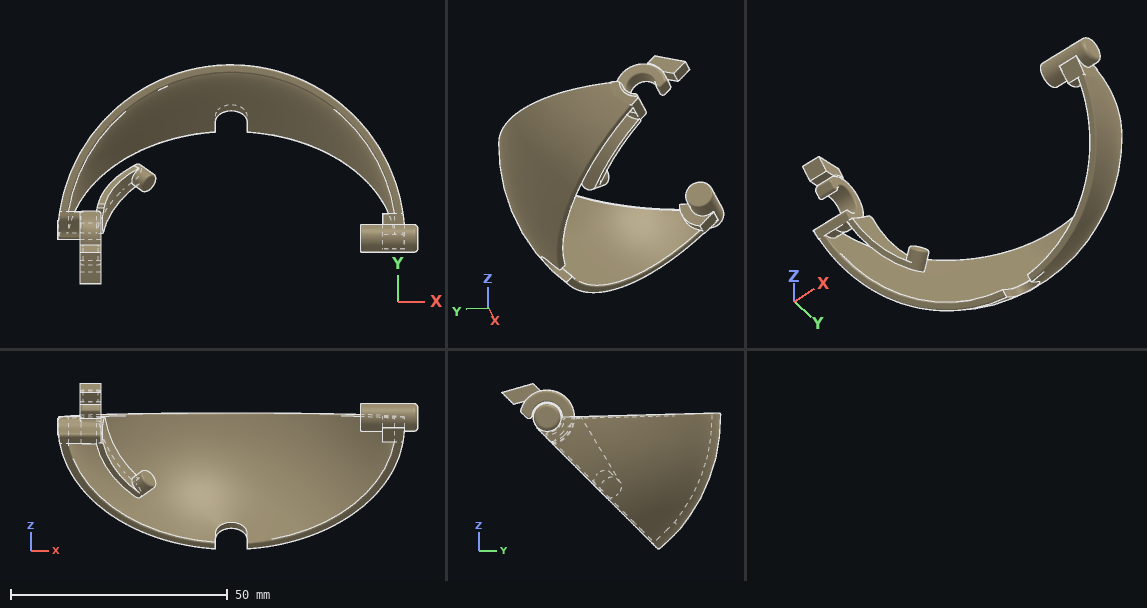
import cadquery as cq
import math

TIP_ANGLE = 45.0

SPHERE_R = 40.1
WALL = 2.0
CUT_OFFSET = 3.4
RIM_TILT = 1.5
RIM_FILLET = 0.4
NOTCH_R = 3.7

BORE_R = 3.5
RING_R = 6.3
TROUGH_R = 6.2
RING_X0 = -35.0
HINGE_X1 = -30.05
TROUGH_X1 = (RING_X0 + HINGE_X1) / 2
LIP_R = 4.1
BORE_FILLET = 0.4
MOUTH_FILLET = 0.75
TROUGH_FILLET = 2.1
RING_FILLET = 0.75

TAB_TOP = (-3.25, 7.8)
TAB_TIP = (-10.5, 5.75)
TAB_END_DROP = 2.75
TAB_ROOT_DROP = 2.4
TAB_ROOT = (-4.0, 4.0)

PIN_R = 3.25
PIN_X0 = 29.8
PIN_X1 = 43.1
PIN_INNER_FILLET = 0.4
PIN_OUTER_FILLET = 1.0
WEB_R = 5.75
WEB_X0 = 35.0

ARM_OUTER_R = 31.8
ARM_INNER_R = 30.2
ARM_TOP = 1.3
ARM_ROOT = 5.0
ARM_SLOPE_START = 5.6
ARM_SLOPE_END = 22.5
PEG_ANGLE = 45.0
PEG_TIP_R = 26.7
PEG_FILLET = 0.5

REACH = 2 * SPHERE_R
RIM_ANGLE = math.radians(TIP_ANGLE + RIM_TILT)


def prism(profile, x0, x1):
    """Extrude a closed Y-Z profile from x0 to x1."""
    return profile(cq.Workplane("YZ").workplane(offset=x0)).extrude(x1 - x0)


def cylinder(radius, x0, x1):
    return prism(lambda plane: plane.circle(radius), x0, x1)


def ball(radius):
    """Solid sphere, turned so that its seam lies on the -Y side, clear of the shell."""
    return cq.Workplane("XY").sphere(radius).rotate((0, 0, 0), (0, 0, 1), -90)


def wedge(x0, x1):
    """Space between the cut plane and the upper rim, starting beneath the hinge axis."""
    points = [
        (0, 0),
        (0, -CUT_OFFSET),
        (REACH, -CUT_OFFSET),
        (REACH * math.cos(RIM_ANGLE), REACH * math.sin(RIM_ANGLE)),
    ]
    return prism(lambda plane: plane.polyline(points).close(), x0, x1)


def above_cut(x0, x1):
    """Half space above the cut plane."""
    block = cq.Workplane("XY").box(x1 - x0, REACH, REACH, centered=False)
    return block.translate((x0, -REACH / 2, -CUT_OFFSET))


def make_shell():
    shell = ball(SPHERE_R).cut(ball(SPHERE_R - WALL)).intersect(wedge(-REACH, REACH))
    shell = shell.cut(cylinder(TROUGH_R, -REACH, 0)).cut(cylinder(WEB_R, 0, REACH))
    rim_edges = cq.selectors.BoxSelector((-WEB_X0, RING_R, -REACH), (WEB_X0, REACH, REACH))
    shell = shell.edges(rim_edges).fillet(RIM_FILLET)
    notch = cq.Workplane("XZ").circle(NOTCH_R).extrude(-REACH)
    notch_legs = cq.Workplane("XY").box(2 * NOTCH_R, REACH, REACH, centered=(True, False, False))
    notch = notch.union(notch_legs.translate((0, 0, -REACH)))
    return shell.cut(notch)


def round_bore_ends(ring):
    """Round the end edges of the bore; the rounding runs on along its blended mouth."""
    bore_zone = cq.selectors.BoxSelector((-REACH, -BORE_R, -BORE_R), (REACH, BORE_R, BORE_R))
    return ring.edges("%CIRCLE and (<X or >X)").edges(bore_zone).fillet(BORE_FILLET)


def make_trough():
    """Open half of the hinge: a ring sector lining the shell's -X corner."""
    sector = cylinder(TROUGH_R, -SPHERE_R, TROUGH_X1).cut(cylinder(BORE_R, -REACH, 0))
    sector = sector.intersect(wedge(-REACH, 0))
    sector = sector.edges("|X").edges("<Z").edges("<Y").fillet(MOUTH_FILLET)
    at_rim = cq.selectors.NearestToPointSelector(
        (RING_X0, BORE_R * math.cos(RIM_ANGLE), BORE_R * math.sin(RIM_ANGLE)))
    sector = sector.edges("|X").edges(at_rim).fillet(TROUGH_FILLET)
    outline = ball(SPHERE_R).union(cylinder(LIP_R, -SPHERE_R, 0))
    return sector.intersect(outline)


def make_hook():
    """Hook ring that snaps over the mating pin, with its mouth at the cut plane."""
    hook = cylinder(RING_R, RING_X0, HINGE_X1)
    hook = hook.faces("|X").edges().fillet(RING_FILLET)
    hook = hook.cut(cylinder(BORE_R, -REACH, 0)).intersect(above_cut(-REACH, 0))
    mouth_y = math.sqrt(BORE_R**2 - CUT_OFFSET**2)
    for side in (-1, 1):
        mouth_edge = cq.selectors.NearestToPointSelector((RING_X0, side * mouth_y, -CUT_OFFSET))
        hook = hook.edges("|X").edges(mouth_edge).fillet(MOUTH_FILLET)
    return round_bore_ends(hook)


def make_pin():
    """Hinge pin and the web that joins it to the shell."""
    pin = cylinder(PIN_R, PIN_X0, PIN_X1)
    pin = pin.edges("<X").fillet(PIN_INNER_FILLET)
    pin = pin.edges(">X").fillet(PIN_OUTER_FILLET)
    web = cylinder(WEB_R, WEB_X0, SPHERE_R).intersect(wedge(0, REACH))
    web = web.intersect(ball(SPHERE_R))
    return pin.union(web)


def make_arm():
    """Spring arm, a strip of a thinner sphere that ends in a peg pointing back inward."""
    points = [
        (ARM_ROOT, -CUT_OFFSET),
        (SPHERE_R, -CUT_OFFSET),
        (SPHERE_R, ARM_TOP),
        (ARM_SLOPE_END, ARM_TOP),
        (ARM_SLOPE_START, ARM_SLOPE_START),
        (ARM_ROOT, ARM_ROOT),
    ]
    strip = prism(lambda plane: plane.polyline(points).close(), -SPHERE_R, 0)
    layer = ball(ARM_OUTER_R).cut(ball(ARM_INNER_R))
    angle = math.radians(PEG_ANGLE)
    sector_points = [(0, 0), (-REACH, 0), (-REACH * math.cos(angle), REACH * math.sin(angle))]
    sector = cq.Workplane("XY").workplane(offset=-REACH / 2).polyline(sector_points).close()
    arm = layer.intersect(strip).intersect(sector.extrude(REACH))

    peg_r = (ARM_TOP + CUT_OFFSET) / 2
    peg_z = (ARM_TOP - CUT_OFFSET) / 2
    outward = cq.Vector(-math.cos(angle), math.sin(angle), 0)
    tip = outward * PEG_TIP_R + cq.Vector(0, 0, peg_z)
    peg = cq.Workplane(cq.Plane(tip, (0, 0, 1), outward)).circle(peg_r)
    peg = peg.extrude(SPHERE_R - PEG_TIP_R)
    peg = peg.faces(cq.selectors.NearestToPointSelector(tip)).edges().fillet(PEG_FILLET)
    return arm.union(peg.intersect(ball(ARM_OUTER_R)))


def make_tab():
    """Finger tab, built directly in the tipped position."""
    (top_y, top_z), (tip_y, tip_z) = TAB_TOP, TAB_TIP
    points = [
        TAB_TOP,
        TAB_TIP,
        (tip_y + TAB_END_DROP, tip_z - TAB_END_DROP),
        TAB_ROOT,
        (top_y + TAB_ROOT_DROP, top_z - TAB_ROOT_DROP),
    ]
    tab = prism(lambda plane: plane.polyline(points).close(), RING_X0, HINGE_X1)
    return tab.cut(cylinder(RING_R, RING_X0, HINGE_X1))


part = make_shell()
for piece in (make_trough(), make_hook(), make_pin(), make_arm()):
    part = part.union(piece)
part = part.rotate((0, 0, 0), (1, 0, 0), -TIP_ANGLE)

result = part.union(make_tab()).clean()